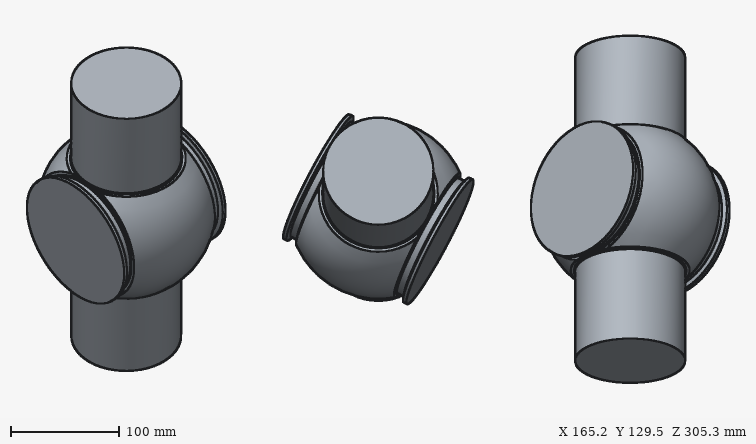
import cadquery as cq

body_diameter = 165.2
pipe_side_width = 123.3
flange_side_width = 103.0

overall_length = 305.3
pipe_diameter = 101.7

overall_depth = 129.5
neck_diameter = 120.5
flange_diameter = 130.0
flange_rim_thickness = 3.7
flange_bevel_depth = 1.5

collar_width = 1.0
collar_height = 1.0


def make_body():
    sphere = cq.Workplane("XY").sphere(body_diameter / 2)
    envelope = cq.Workplane("XY").box(body_diameter, flange_side_width, pipe_side_width)
    return sphere.intersect(envelope)


def make_pipe():
    """Upper pipe, turned about Z, with a collar at its root."""
    radius = pipe_diameter / 2
    root = pipe_side_width / 2
    end = overall_length / 2
    profile = (
        cq.Workplane("XZ")
        .lineTo(radius + collar_width, 0)
        .lineTo(radius + collar_width, root + collar_height)
        .lineTo(radius, root + collar_height)
        .lineTo(radius, end)
        .lineTo(0, end)
        .close()
    )
    return profile.revolve(360, (0, 0, 0), (0, 1, 0))


def make_flanged_neck():
    """Neck on the +Y side, turned about Y, with a collar at its root and a bevel-backed end flange."""
    neck_radius = neck_diameter / 2
    flange_radius = flange_diameter / 2
    root = flange_side_width / 2
    flange_face = overall_depth / 2
    flange_back = flange_face - flange_rim_thickness
    profile = (
        cq.Workplane("XY")
        .lineTo(neck_radius + collar_width, 0)
        .lineTo(neck_radius + collar_width, root + collar_height)
        .lineTo(neck_radius, root + collar_height)
        .lineTo(neck_radius, flange_back - flange_bevel_depth)
        .lineTo(flange_radius, flange_back)
        .lineTo(flange_radius, flange_face)
        .lineTo(0, flange_face)
        .close()
    )
    return profile.revolve(360, (0, 0, 0), (0, 1, 0))


pipe = make_pipe()
flanged_neck = make_flanged_neck()

result = make_body()
for branch in (pipe, pipe.mirror("XY"), flanged_neck, flanged_neck.mirror("XZ")):
    result = result.union(branch)